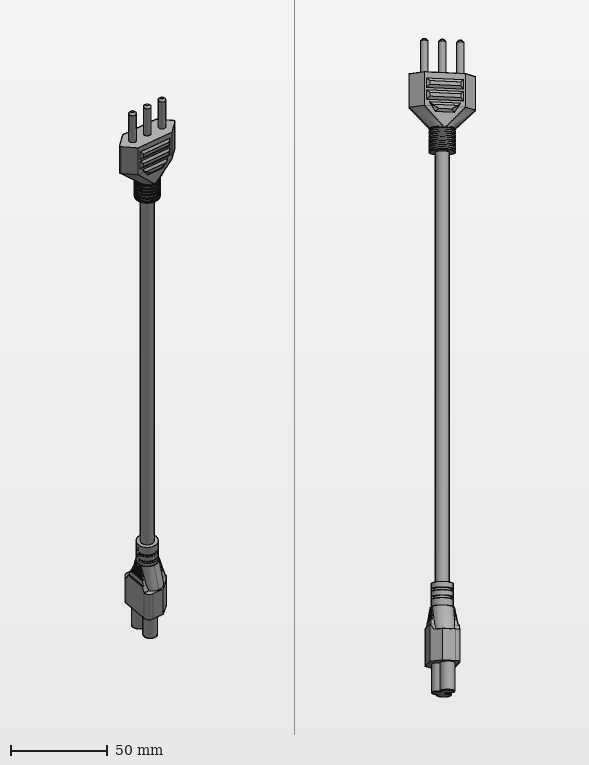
import cadquery as cq
import math


total_height = 346.5
pin_length = 19.0
plug_body_length = 17.8
plug_taper_length = 10.5
sleeve_length = 12.5
nose_length = 15.3
flange_length = 16.8
shoulder_length = 13.5
relief_length = 12.5

flange_top = nose_length + flange_length
shoulder_top = flange_top + shoulder_length
relief_top = shoulder_top + relief_length
plug_top = total_height - pin_length
plug_body_bottom = plug_top - plug_body_length
plug_taper_bottom = plug_body_bottom - plug_taper_length
sleeve_bottom = plug_taper_bottom - sleeve_length

cut_clearance = 1.0

cable_diameter = 7.3

plug_half_length = 35.3 / 2
plug_half_thickness = 6.8
plug_flat_half_length = 10.9
plug_tip_half_angle = math.radians(43.5)
plug_sharp_tip = plug_flat_half_length + plug_half_thickness / math.tan(plug_tip_half_angle)
plug_tip_radius = (plug_sharp_tip - plug_half_length) / (1 / math.sin(plug_tip_half_angle) - 1)
taper_flat_angle = math.radians(8)
taper_tip_angle = math.radians(80)
pin_diameter = 4.0
pin_spacing = 9.5
pin_tip_chamfer = 1.2
rib_height = 1.0
rib_width = 5.0
rib_slope = 1.5
rib_pitch = 6.25
rib_half_length = 9.7
first_rib_depth = 5.8
last_rib_top_half_length = 8.2
last_rib_bottom_half_length = 5.0
sleeve_groove_count = 6
sleeve_groove_width = 1.0
sleeve_groove_depth = 0.7

flange_half_width = 21.9 / 2
flange_half_depth = 7.8
flange_side_front = -4.6
flange_side_back = 2.1
flange_back_half_width = 6.2
flange_corner_radius = flange_half_depth + flange_side_front
lobe_radius = 3.9
lobe_offset_x = 4.9
lobe_offset_y = 1.8
nose_chamfer = 0.4
shoulder_base_half_width = 10.2
shoulder_base_half_depth = 7.4
shoulder_top_radius = 6.0
pad_step_height = 3.1
pad_base_half_width = flange_half_width - flange_corner_radius
pad_step_half_width = 6.2
pad_top_half_width = 2.0
pad_ledge_half_depth = 7.2
pad_top_half_depth = 6.0
pad_groove_count = 4
pad_groove_pitch = 1.8
pad_groove_width = 0.8
pad_groove_depth = 0.6
pad_first_groove = flange_top + 6.3
relief_radius = 11.5 / 2
relief_slot_width = 1.4
relief_slot_depth = 1.0
relief_slot_pitch = 4.2
relief_slot_rows = 2
relief_first_slot = 3.6
relief_bridge_half_width = 0.5


def ring(outer_radius, inner_radius, bottom, height):
    """Flat ring on the Z axis."""
    disc = cq.Workplane("XY").workplane(offset=bottom).circle(outer_radius)
    return disc.circle(inner_radius).extrude(height)


def make_cable():
    length = sleeve_bottom - relief_top
    return cq.Workplane("XY").workplane(offset=relief_top).circle(cable_diameter / 2).extrude(length)


def plug_outline(plane):
    """Hexagon with two rounded ends, long along Y."""
    touch_x = plug_tip_radius * math.cos(plug_tip_half_angle)
    touch_y = plug_half_length - plug_tip_radius * (1 - math.sin(plug_tip_half_angle))
    return (
        plane.moveTo(plug_half_thickness, -plug_flat_half_length)
        .lineTo(plug_half_thickness, plug_flat_half_length)
        .lineTo(touch_x, touch_y)
        .threePointArc((0, plug_half_length), (-touch_x, touch_y))
        .lineTo(-plug_half_thickness, plug_flat_half_length)
        .lineTo(-plug_half_thickness, -plug_flat_half_length)
        .lineTo(-touch_x, -touch_y)
        .threePointArc((0, -plug_half_length), (touch_x, -touch_y))
        .close()
    )


def sleeve_outline(plane):
    """Circle divided into arcs, one below each face of the plug outline."""
    corner_angles = [
        taper_flat_angle,
        taper_tip_angle,
        math.pi - taper_tip_angle,
        math.pi - taper_flat_angle,
        math.pi + taper_flat_angle,
        math.pi + taper_tip_angle,
        -taper_tip_angle,
        -taper_flat_angle,
    ]

    def point(angle):
        return plug_half_thickness * math.cos(angle), plug_half_thickness * math.sin(angle)

    outline = plane.moveTo(*point(-taper_flat_angle))
    previous = -taper_flat_angle
    for angle in corner_angles:
        sweep = (angle - previous) % (2 * math.pi)
        outline = outline.threePointArc(point(previous + sweep / 2), point(angle))
        previous = angle
    return outline.close()


def plug_taper():
    """Transition from the plug outline down to the round sleeve."""
    start = plug_outline(cq.Workplane("XY").workplane(offset=plug_body_bottom))
    return sleeve_outline(start.workplane(offset=-plug_taper_length)).loft(ruled=True)


def grip_rib(side, middle, top_half_length, bottom_half_length):
    """Raised bar with sloping flanks on the +X (side=1) or -X (side=-1) face."""
    half = rib_width / 2
    crest_half = half - rib_slope
    base = [
        (-top_half_length, middle + half),
        (top_half_length, middle + half),
        (bottom_half_length, middle - half),
        (-bottom_half_length, middle - half),
    ]
    crest = [
        (rib_slope - top_half_length, middle + crest_half),
        (top_half_length - rib_slope, middle + crest_half),
        (bottom_half_length - rib_slope, middle - crest_half),
        (rib_slope - bottom_half_length, middle - crest_half),
    ]
    start = cq.Workplane("YZ").workplane(offset=side * plug_half_thickness).polyline(base).close()
    return start.workplane(offset=side * rib_height).polyline(crest).close().loft(ruled=True)


def plug_pin(y):
    pin = cq.Workplane("XY").workplane(offset=plug_top).center(0, y).circle(pin_diameter / 2)
    return pin.extrude(pin_length).faces(">Z").chamfer(pin_tip_chamfer)


def plug_sleeve():
    """Round cable sleeve with a row of ring grooves."""
    blank = cq.Workplane("XY").workplane(offset=sleeve_bottom)
    sleeve = blank.circle(plug_half_thickness).extrude(sleeve_length)
    pitch = sleeve_length / sleeve_groove_count
    for index in range(sleeve_groove_count):
        groove_bottom = sleeve_bottom + (index + 0.5) * pitch - sleeve_groove_width / 2
        groove = ring(
            plug_half_thickness + cut_clearance,
            plug_half_thickness - sleeve_groove_depth,
            groove_bottom,
            sleeve_groove_width,
        )
        sleeve = sleeve.cut(groove)
    return sleeve


def make_plug():
    plug = plug_outline(cq.Workplane("XY").workplane(offset=plug_body_bottom)).extrude(plug_body_length)
    plug = plug.union(plug_taper()).union(plug_sleeve())
    first = plug_top - first_rib_depth
    for side in (-1, 1):
        plug = plug.union(grip_rib(side, first, rib_half_length, rib_half_length))
        plug = plug.union(grip_rib(side, first - rib_pitch, rib_half_length, rib_half_length))
        last = first - 2 * rib_pitch
        plug = plug.union(grip_rib(side, last, last_rib_top_half_length, last_rib_bottom_half_length))
    for index in (-1, 0, 1):
        plug = plug.union(plug_pin(index * pin_spacing))
    return plug


def connector_nose():
    """Three-lobed plug-in end, with a web joining the lobes."""
    centres = [(-lobe_offset_x, -lobe_offset_y), (lobe_offset_x, -lobe_offset_y), (0, lobe_offset_y)]
    web_height = nose_length - nose_chamfer
    web = cq.Workplane("XY").workplane(offset=nose_chamfer)
    nose = web.polyline(centres).close().extrude(web_height)
    for centre in centres:
        lobe = cq.Workplane("XY").center(*centre).circle(lobe_radius).extrude(nose_length)
        nose = nose.union(lobe.faces("<Z").chamfer(nose_chamfer))
    return nose


def connector_flange(bottom, top):
    """Prism with the grip outline: rounded front corners, slanted back corners."""
    front_half_width = flange_half_width - flange_corner_radius
    mid_offset = flange_corner_radius * math.sqrt(0.5)
    arc_x = front_half_width + mid_offset
    arc_y = flange_side_front - mid_offset
    return (
        cq.Workplane("XY").workplane(offset=bottom)
        .moveTo(-front_half_width, -flange_half_depth)
        .lineTo(front_half_width, -flange_half_depth)
        .threePointArc((arc_x, arc_y), (flange_half_width, flange_side_front))
        .lineTo(flange_half_width, flange_side_back)
        .lineTo(flange_back_half_width, flange_half_depth)
        .lineTo(-flange_back_half_width, flange_half_depth)
        .lineTo(-flange_half_width, flange_side_back)
        .lineTo(-flange_half_width, flange_side_front)
        .threePointArc((-arc_x, arc_y), (-front_half_width, -flange_half_depth))
        .close()
        .extrude(top - bottom)
    )


def connector_shoulder():
    """Oval cone from the flange up to the strain relief."""
    base = cq.Workplane("XY").workplane(offset=flange_top)
    base = base.ellipse(shoulder_base_half_width, shoulder_base_half_depth)
    top = base.workplane(offset=shoulder_length)
    return top.ellipse(shoulder_top_radius, shoulder_top_radius).loft(ruled=True)


def shoulder_pad():
    """Flat-faced wedge on the front and back of the shoulder."""
    step_top = flange_top + pad_step_height
    width_points = [
        (-pad_base_half_width, flange_top),
        (pad_base_half_width, flange_top),
        (pad_step_half_width, step_top),
        (pad_top_half_width, shoulder_top),
        (-pad_top_half_width, shoulder_top),
        (-pad_step_half_width, step_top),
    ]
    depth_points = [
        (-flange_half_depth, flange_top),
        (flange_half_depth, flange_top),
        (flange_half_depth, step_top),
        (pad_ledge_half_depth, step_top),
        (pad_top_half_depth, shoulder_top),
        (-pad_top_half_depth, shoulder_top),
        (-pad_ledge_half_depth, step_top),
        (-flange_half_depth, step_top),
    ]
    pad = cq.Workplane("XZ").polyline(width_points).close().extrude(flange_half_depth, both=True)
    depth = cq.Workplane("YZ").polyline(depth_points).close().extrude(flange_half_width, both=True)
    return pad.intersect(depth).intersect(connector_flange(flange_top, shoulder_top))


def pad_grooves():
    """Level grooves across the front and back faces of the pad."""
    slope_height = shoulder_length - pad_step_height
    slope = (pad_ledge_half_depth - pad_top_half_depth) / slope_height
    taper = (pad_step_half_width - pad_top_half_width) / slope_height
    grooves = cq.Workplane("XY")
    for index in range(pad_groove_count):
        z = pad_first_groove + index * pad_groove_pitch
        rise = z - flange_top - pad_step_height
        face_y = pad_ledge_half_depth - slope * rise
        length = 2 * (pad_step_half_width - taper * rise)
        for side in (-1, 1):
            groove = cq.Workplane("XY").box(length, 2 * pad_groove_depth, pad_groove_width)
            grooves = grooves.add(groove.translate((0, side * face_y, z)))
    return grooves


def strain_relief():
    """Round sleeve with half-ring slots, staggered between the -X and +X sides."""
    relief = cq.Workplane("XY").workplane(offset=shoulder_top).circle(relief_radius).extrude(relief_length)
    outer = relief_radius + cut_clearance
    for row in range(relief_slot_rows):
        for side in (-1, 1):
            stagger = 0 if side < 0 else relief_slot_pitch / 2
            middle = relief_top - relief_first_slot - row * relief_slot_pitch - stagger
            bottom = middle - relief_slot_width / 2
            slot = ring(outer, relief_radius - relief_slot_depth, bottom, relief_slot_width)
            half_block = cq.Workplane("XY").box(outer, 2 * outer, relief_slot_width)
            half_x = side * (outer / 2 + relief_bridge_half_width)
            relief = relief.cut(slot.intersect(half_block.translate((half_x, 0, middle))))
    return relief


def make_connector():
    connector = connector_nose().union(connector_flange(nose_length, flange_top))
    connector = connector.union(connector_shoulder()).union(shoulder_pad())
    for groove in pad_grooves().vals():
        connector = connector.cut(cq.Workplane(obj=groove))
    return connector.union(strain_relief())


cable = make_cable()
plug = make_plug()
connector = make_connector()

result = cq.Compound.makeCompound([cable.solids().val(), plug.solids().val(), connector.solids().val()])